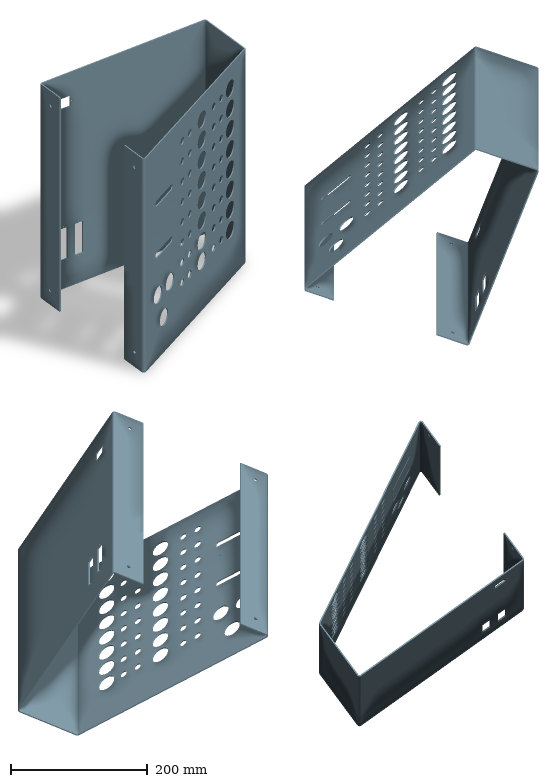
import cadquery as cq
import math

height = 370.0
depth = 300.0
sheet = 2.0
bend_radius = 2 * sheet

back_width = 100.0
front_width = 260.0
left_flange_end = 50.0
right_flange_start = 210.5

flange_hole_dia = 5.5
flange_hole_top_z = 345.2
flange_hole_bottom_z = 25.0
left_top_hole_x = 27.8
left_bottom_hole_x = 25.5
right_hole_x = 235.7

row_count = 8
bottom_row_z = 85.0
top_row_z = 330.0
large_hole_dia = 27.8
large_columns = (52.0, 147.0)
small_hole_dia = 12.0
small_columns = (82.0, 107.0, 187.2, 212.5)

equipment_centre = 273.5
slot_length = 57.7
slot_width = 10.0
slot_heights = (181.0, 271.0)
pilot_hole_dia = 2.0
pilot_spacing = 42.5
pilot_heights = (209.5, 241.0)
lower_hole_spacing = 40.0
lower_pair_z = 110.0
lower_single_z = 60.0

socket_y = 44.5
socket_z = 320.5
socket_width = 19.5
socket_height = 18.0
socket_chamfer = 2.2
socket_screw_spacing = 24.5

window_columns = (41.8, 70.0)
window_z = 77.5
window_width = 14.0
window_height = 54.5
window_screw_spacing = 60.3
panel_screw_dia = 2.5

slope_run = front_width - back_width
slope_length = math.hypot(slope_run, depth)
slope_x = slope_run / slope_length
slope_y = -depth / slope_length

cutter_reach = 2 * sheet
sides = (-1, 1)


def folded_sheet():
    """Four-sided tube with rounded bends, opened at the front between the flanges."""
    outline = [(0, 0), (front_width, 0), (back_width, depth), (0, depth)]
    outer_profile = cq.Workplane("XY").polyline(outline).close()
    inner_profile = cq.Workplane("XY").polyline(outline).close().offset2D(-sheet, "intersection")
    outer = outer_profile.extrude(height).edges("|Z").fillet(bend_radius)
    inner = inner_profile.extrude(height).edges("|Z").fillet(bend_radius - sheet)
    mouth_width = right_flange_start - left_flange_end
    mouth = cq.Workplane("XY").box(mouth_width, sheet, height, centered=False)
    return outer.cut(inner).cut(mouth.translate((left_flange_end, 0, 0)))


def drill(plane, points, diameter):
    """Cutters centred on the plane, long enough to cross one sheet."""
    return cq.Workplane(plane).pushPoints(points).circle(diameter / 2).extrude(cutter_reach, both=True)


def flange_holes():
    points = [
        (left_top_hole_x, flange_hole_top_z),
        (left_bottom_hole_x, flange_hole_bottom_z),
        (right_hole_x, flange_hole_top_z),
        (right_hole_x, flange_hole_bottom_z),
    ]
    return drill(cq.Plane.XZ(), points, flange_hole_dia)


def sloped_panel_cutters():
    panel = cq.Plane(
        origin=(back_width, depth, 0),
        xDir=(slope_x, slope_y, 0),
        normal=(slope_y, -slope_x, 0),
    )
    row_pitch = (top_row_z - bottom_row_z) / (row_count - 1)
    rows = [bottom_row_z + i * row_pitch for i in range(row_count)]

    large = [(s, z) for s in large_columns for z in rows]
    large += [(equipment_centre + side * lower_hole_spacing / 2, lower_pair_z) for side in sides]
    large.append((equipment_centre, lower_single_z))
    small = [(s, z) for s in small_columns for z in rows]
    pilots = [
        (equipment_centre + side * pilot_spacing / 2, z) for side in sides for z in pilot_heights
    ]
    slots = (
        cq.Workplane(panel)
        .pushPoints([(equipment_centre, z) for z in slot_heights])
        .slot2D(slot_length, slot_width)
        .extrude(cutter_reach, both=True)
    )
    return [
        drill(panel, large, large_hole_dia),
        drill(panel, small, small_hole_dia),
        drill(panel, pilots, pilot_hole_dia),
        slots,
    ]


def left_panel_cutters():
    panel = cq.Plane.YZ()
    socket = (
        cq.Workplane(panel)
        .center(socket_y, socket_z)
        .rect(socket_width, socket_height)
        .extrude(cutter_reach, both=True)
        .edges("|X and >Z")
        .chamfer(socket_chamfer)
    )
    windows = (
        cq.Workplane(panel)
        .pushPoints([(y, window_z) for y in window_columns])
        .rect(window_width, window_height)
        .extrude(cutter_reach, both=True)
    )
    screws = []
    for side in sides:
        screws.append((socket_y + side * socket_screw_spacing / 2, socket_z))
        screws += [(y, window_z + side * window_screw_spacing / 2) for y in window_columns]
    return [socket, windows, drill(panel, screws, panel_screw_dia)]


result = folded_sheet().cut(flange_holes())
for cutter in sloped_panel_cutters() + left_panel_cutters():
    result = result.cut(cutter)